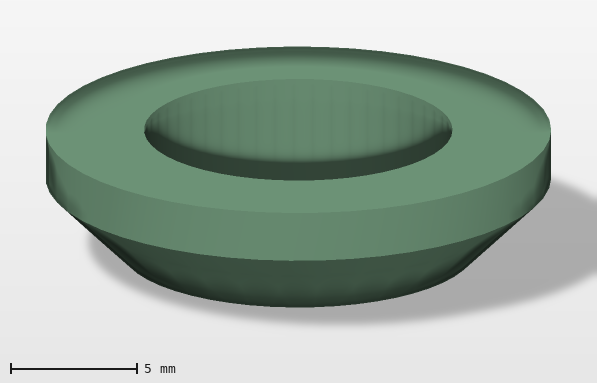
import cadquery as cq

outer_diameter = 20.0
bore_diameter = 12.2
total_height = 5.0
rim_height = 2.0

taper_height = total_height - rim_height
outer_radius = outer_diameter / 2
bore_radius = bore_diameter / 2
base_radius = outer_radius - taper_height

section = (
    cq.Workplane("XZ")
    .moveTo(bore_radius, 0)
    .lineTo(base_radius, 0)
    .lineTo(outer_radius, taper_height)
    .lineTo(outer_radius, total_height)
    .lineTo(bore_radius, total_height)
    .close()
)

result = section.revolve(360, (0, 0, 0), (0, 1, 0))